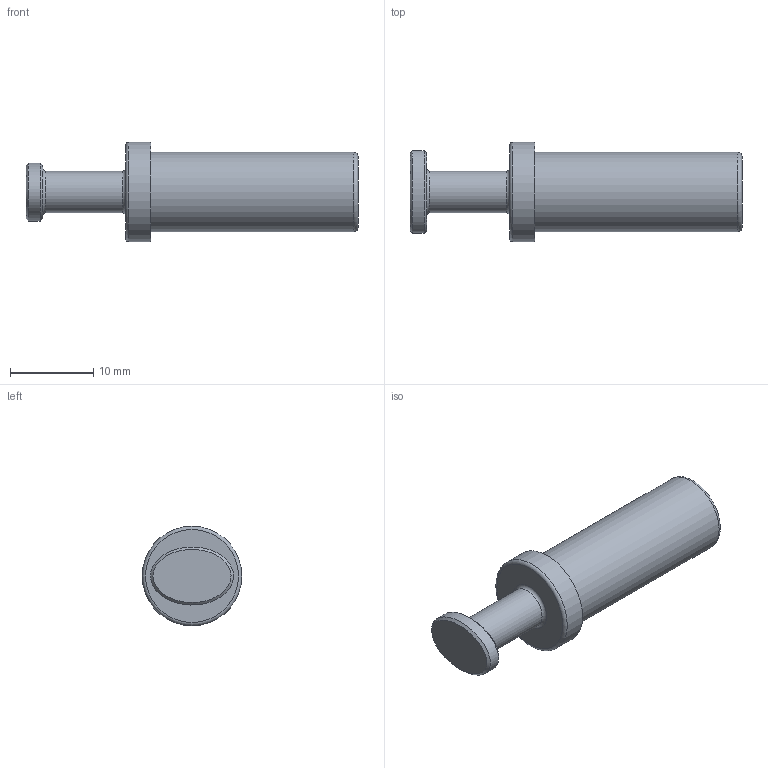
import cadquery as cq
head_width = 10.0
head_height = 7.0
head_thickness = 2.0
neck_diameter = 5.0
neck_length = 10.0
flange_diameter = 12.0
flange_thickness = 3.0
body_diameter = 9.53
body_length = 25.0

head_chamfer = 0.3
neck_root_radius = 0.4
flange_edge_radius = 0.4
body_end_radius = 0.5

neck_start = head_thickness
flange_start = neck_start + neck_length
body_start = flange_start + flange_thickness


def section_plane(x):
    """Plane square to the axis at position x, with local x along +Y."""
    return cq.Workplane("YZ", origin=(x, 0, 0))


def make_head():
    """Plain elliptical head, wider along Y than along Z."""
    return section_plane(0).ellipse(head_width / 2, head_height / 2).extrude(head_thickness)


def make_cylinder(start, length, diameter):
    """Round section of the pin from start along +X."""
    return section_plane(start).circle(diameter / 2).extrude(length)


def round_neck_roots(pin):
    """Concave fillets where the neck, the thinnest section, meets the head and the flange."""
    thinnest = cq.selectors.RadiusNthSelector(0)
    return pin.edges("%CIRCLE").edges(thinnest).fillet(neck_root_radius)


def chamfer_head_edges(pin):
    """Chamfers around both faces of the head."""
    return pin.edges("%ELLIPSE").chamfer(head_chamfer)


def round_flange_edge(pin):
    """Fillet on the edge of the flange, the widest section, that faces the head."""
    widest = cq.selectors.RadiusNthSelector(-1)
    return pin.edges("%CIRCLE").edges(widest).edges("<X").fillet(flange_edge_radius)


def round_body_end(pin):
    """Fillet around the free end of the body."""
    return pin.faces(">X").edges().fillet(body_end_radius)


neck = make_cylinder(neck_start, neck_length, neck_diameter)
flange = make_cylinder(flange_start, flange_thickness, flange_diameter)
body = make_cylinder(body_start, body_length, body_diameter)

result = make_head().union(neck).union(flange).union(body)
result = round_neck_roots(result)
result = chamfer_head_edges(result)
result = round_flange_edge(result)
result = round_body_end(result)